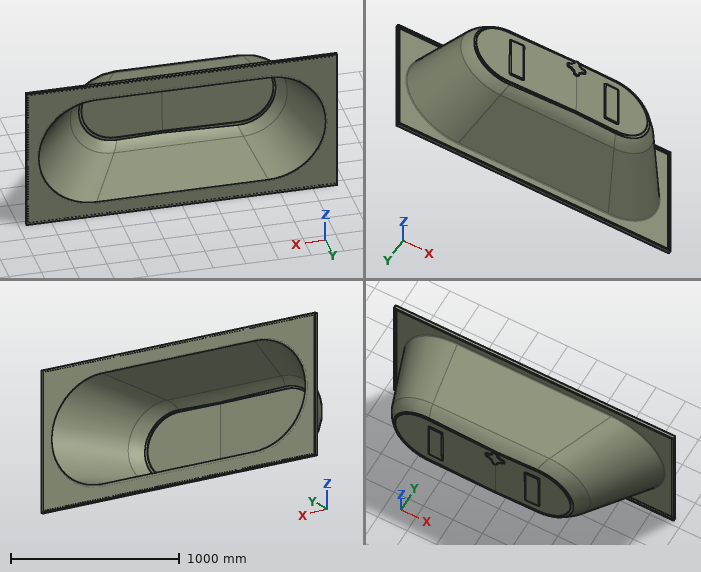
import cadquery as cq
import math


RIM_LENGTH = 1900.0
RIM_WIDTH = 900.0
RIM_DEPTH = 20.0
SKIRT_WALL = 11.0
PLATE_THICKNESS = 8.0

MOUTH_LEFT, MOUTH_RIGHT, MOUTH_RADIUS = -528.0, 525.0, 361.0
SHOULDER_LEFT, SHOULDER_RIGHT, SHOULDER_RADIUS = -475.0, 317.0, 277.0
SHOULDER_DEPTH = 403.0
MOUTH_FILLET = 5.0
SHELL_WALL = 10.0

TOE_LEFT, TOE_RIGHT, TOE_RADIUS = -450.0, 275.0, 228.0
TOE_DEPTH = 490.0
SHOULDER_STEPS = 3

FLOOR_LEFT, FLOOR_RIGHT, FLOOR_RADIUS = -465.0, 283.0, 222.0
FLOOR_STEP = 5.0
RIDGE_DEPTH = 492.0
RIDGE_SLOPE = 0.02
FLOOR_TILT = 0.7

TOTAL_DEPTH = 500.0
DRAIN_Z = 162.0
DRAIN_HUB_RADIUS = 42.0
DRAIN_ARM_REACH = 65.0
DRAIN_ARM_WIDTH = 38.0
DRAIN_CHAMFER = 4.0
PAD_WIDTH = 103.0
PAD_LENGTH = 315.0
PAD_CORNER = 15.0
PAD_HEIGHT = 4.0
PAD_EDGE_SLOPE_WIDTH = 10.0
PAD_CENTRES = (-408.0, 249.0)

BLOCK_TOP = 95.0


def plane_at(depth):
    """Sketch plane parallel to the rim, with local x = X, local y = Z and normal -Y."""
    return cq.Workplane("XZ", origin=(0, -depth, 0))


def stadium(depth, left, right, radius):
    """Closed outline of two straight sides and two half-circle ends."""
    outline = (
        plane_at(depth)
        .moveTo(left, radius)
        .lineTo(right, radius)
        .threePointArc((right + radius, 0), (right, -radius))
        .lineTo(left, -radius)
        .threePointArc((left - radius, 0), (left, radius))
        .close()
    )
    return outline.val()


def loft(sections, ruled):
    return cq.Workplane(cq.Solid.makeLoft([stadium(*section) for section in sections], ruled))


def shoulder_value(fraction, mouth, shoulder, toe):
    """Parabola that leaves the wall tangentially at 0 and reaches the toe at 1."""
    along_wall = (shoulder - mouth) / SHOULDER_DEPTH * (TOE_DEPTH - SHOULDER_DEPTH)
    return shoulder + along_wall * fraction + (toe - shoulder - along_wall) * fraction**2


def shoulder_section(fraction, inset, lift):
    """Section of the rounded shoulder; fraction runs from 0 at the wall to 1 at the toe."""
    return (
        SHOULDER_DEPTH + fraction * (TOE_DEPTH - SHOULDER_DEPTH) - lift,
        shoulder_value(fraction, MOUTH_LEFT, SHOULDER_LEFT, TOE_LEFT),
        shoulder_value(fraction, MOUTH_RIGHT, SHOULDER_RIGHT, TOE_RIGHT),
        shoulder_value(fraction, MOUTH_RADIUS, SHOULDER_RADIUS, TOE_RADIUS) - inset,
    )


def ridge_block(lift):
    """Block covering the tub, closed toward -Y by the tilted ridge raised by lift."""
    half_length = RIM_LENGTH / 2
    end_depth = RIDGE_DEPTH - RIDGE_SLOPE * half_length
    profile = [
        (-half_length, BLOCK_TOP),
        (-half_length, lift - end_depth),
        (0, lift - RIDGE_DEPTH),
        (half_length, lift - end_depth),
        (half_length, BLOCK_TOP),
    ]
    block = cq.Workplane("XY").polyline(profile).close().extrude(RIM_WIDTH / 2, both=True)
    return block.rotate((0, -RIDGE_DEPTH, 0), (1, -RIDGE_DEPTH, 0), FLOOR_TILT)


def floor_panel(inset, lift):
    outline = (FLOOR_LEFT, FLOOR_RIGHT, FLOOR_RADIUS - inset)
    panel = loft([(SHOULDER_DEPTH, *outline), (TOTAL_DEPTH, *outline)], True)
    return panel.intersect(ridge_block(lift))


def tub(inset, lift):
    """Solid tub, drawn in by inset and with its bottom raised by lift."""
    mouth = (0, MOUTH_LEFT, MOUTH_RIGHT, MOUTH_RADIUS - inset)
    wall = loft([mouth, shoulder_section(0, inset, lift)], True)
    fractions = [step / SHOULDER_STEPS for step in range(SHOULDER_STEPS + 1)]
    shoulder = loft([shoulder_section(fraction, inset, lift) for fraction in fractions], False)
    shoulder = shoulder.intersect(ridge_block(lift + FLOOR_STEP))
    return wall.union(shoulder).union(floor_panel(inset, lift))


def rim():
    plate = plane_at(0).rect(RIM_LENGTH, RIM_WIDTH).extrude(RIM_DEPTH)
    recess = (
        plane_at(PLATE_THICKNESS)
        .rect(RIM_LENGTH - 2 * SKIRT_WALL, RIM_WIDTH - 2 * SKIRT_WALL)
        .extrude(RIM_DEPTH)
    )
    return plate.cut(recess)


def drain():
    fitting = plane_at(RIDGE_DEPTH - SHELL_WALL / 2)
    height = TOTAL_DEPTH - RIDGE_DEPTH + SHELL_WALL / 2
    hub = fitting.center(0, DRAIN_Z).circle(DRAIN_HUB_RADIUS).extrude(height)
    for angle in (0, 90):
        arm = fitting.center(0, DRAIN_Z).slot2D(2 * DRAIN_ARM_REACH, DRAIN_ARM_WIDTH, angle)
        hub = hub.union(arm.extrude(height))
    return hub.faces("<Y").chamfer(DRAIN_CHAMFER)


def foot_pad(centre_x):
    """Rounded rectangular pad with sloping edges, lying flush on one side of the floor ridge."""
    uphill = math.copysign(RIDGE_SLOPE, centre_x)
    pad_plane = cq.Plane(
        origin=(centre_x, RIDGE_SLOPE * abs(centre_x) - RIDGE_DEPTH, 0),
        xDir=(1, uphill, 0),
        normal=(uphill, -1, -math.tan(math.radians(FLOOR_TILT))),
    )
    outline = cq.Sketch().rect(PAD_WIDTH, PAD_LENGTH).vertices().fillet(PAD_CORNER)
    edge_angle = math.degrees(math.atan(PAD_EDGE_SLOPE_WIDTH / PAD_HEIGHT))
    pad = cq.Workplane(pad_plane).placeSketch(outline).extrude(PAD_HEIGHT, taper=edge_angle)
    root = cq.Workplane(pad_plane).placeSketch(outline).extrude(-SHELL_WALL / 2)
    return pad.union(root)


def mouth_edges():
    """Selector for the edges where the tub wall leaves the rim plate."""
    reach_x = RIM_LENGTH / 2 - 2 * SKIRT_WALL
    reach_z = RIM_WIDTH / 2 - 2 * SKIRT_WALL
    half_band = PLATE_THICKNESS / 4
    return cq.selectors.BoxSelector(
        (-reach_x, -PLATE_THICKNESS - half_band, -reach_z),
        (reach_x, -PLATE_THICKNESS + half_band, reach_z),
    )


result = rim().union(tub(0, 0)).edges(mouth_edges()).fillet(MOUTH_FILLET)
result = result.cut(tub(SHELL_WALL, SHELL_WALL)).union(drain())
for pad_centre in PAD_CENTRES:
    result = result.union(foot_pad(pad_centre))